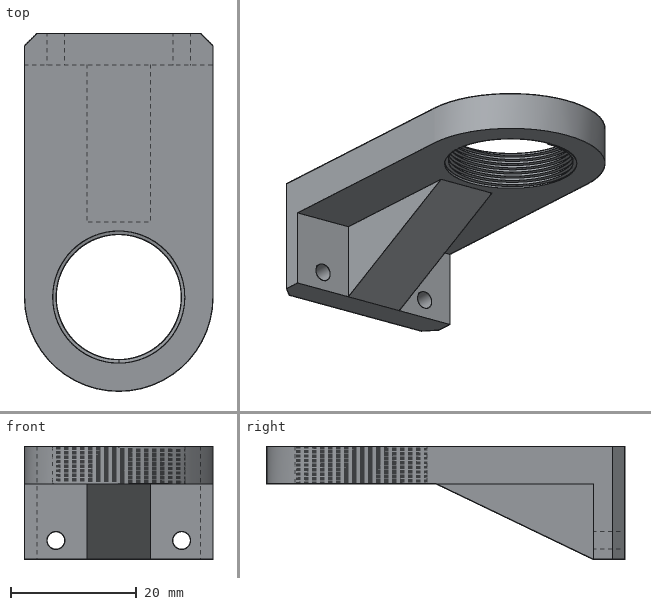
import cadquery as cq

width = 30.0
length = 57.0
height = 18.0
plate_thickness = 6.0
wall_thickness = 5.0
corner_chamfer = 2.0

rib_width = 10.0
rib_length = 25.0

screw_diameter = 2.8
screw_spacing = 20.0
screw_edge_distance = 3.0

bore_diameter = 21.0
thread_crest_diameter = 19.9
thread_turns = 8
thread_base_height = 0.2
ridge_overlap = 0.03
thread_pitch = (plate_thickness - thread_base_height) / thread_turns

end_radius = width / 2
wall_back_y = length - end_radius
wall_front_y = wall_back_y - wall_thickness


def make_plate():
    """Flat plate with a semicircular end around the origin."""
    return (
        cq.Workplane("XY")
        .moveTo(-end_radius, 0)
        .threePointArc((0, -end_radius), (end_radius, 0))
        .lineTo(end_radius, wall_back_y)
        .lineTo(-end_radius, wall_back_y)
        .close()
        .extrude(-plate_thickness)
    )


def make_wall():
    """Upright wall hanging from the straight end of the plate."""
    return cq.Workplane("XY").box(
        width, wall_thickness, height, centered=(True, False, False)
    ).translate((0, wall_front_y, -height))


def make_rib():
    """Central triangular brace between the wall and the plate."""
    return (
        cq.Workplane("YZ")
        .moveTo(wall_front_y, -height)
        .lineTo(wall_front_y, -plate_thickness)
        .lineTo(wall_front_y - rib_length, -plate_thickness)
        .close()
        .extrude(rib_width / 2, both=True)
    )


def make_screw_holes():
    """Pair of cutters that pass through the wall along Y."""
    screw_z = screw_edge_distance - height
    return (
        cq.Workplane("XZ", origin=(0, wall_back_y, screw_z))
        .pushPoints([(-screw_spacing / 2, 0), (screw_spacing / 2, 0)])
        .circle(screw_diameter / 2)
        .extrude(wall_thickness)
    )


def make_bore():
    """Cutter for the plain bore through the plate."""
    return cq.Workplane("XY").circle(bore_diameter / 2).extrude(-plate_thickness)


def make_thread():
    """Right-handed helical ridge that starts and ends on the -Y side of the bore."""
    crest_radius = thread_crest_diameter / 2
    root_radius = bore_diameter / 2 + ridge_overlap
    helix = cq.Wire.makeHelix(thread_pitch, thread_turns * thread_pitch, crest_radius)
    ridge = (
        cq.Workplane("XZ")
        .moveTo(crest_radius, thread_base_height / 2)
        .lineTo(root_radius, 0)
        .lineTo(root_radius, thread_base_height)
        .close()
        .sweep(cq.Workplane(helix), isFrenet=True)
    )
    start_angle = -90
    return ridge.rotate((0, 0, 0), (0, 0, 1), start_angle).translate((0, 0, -plate_thickness))


body = make_plate().union(make_wall()).union(make_rib())
body = body.edges("|Z and >Y").chamfer(corner_chamfer)
body = body.cut(make_screw_holes()).cut(make_bore())
result = body.union(make_thread())